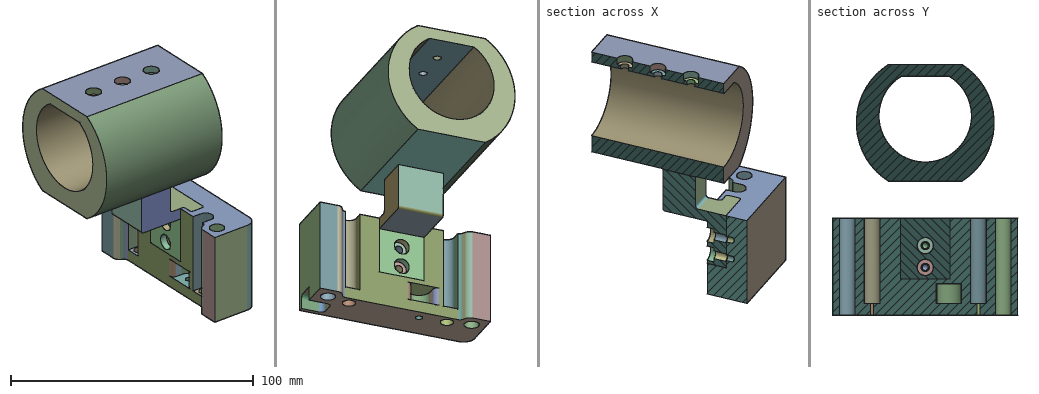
import cadquery as cq
import math

OVERALL_HEIGHT = 103.3
SELECT_MARGIN = 0.1

BASE_WIDTH = 76.3
BASE_DEPTH = 21.8
BASE_HEIGHT = 40.0
BACK_CORNER_RADIUS = 5.0
FLOOR_THICKNESS = 5.0

RECESS_DEPTH = 3.7
RECESS_BACK_WIDTH = 52.7
RECESS_FLANK_ANGLE = 60.0
EAR_ROUND = 3.0
RECESS_CORNER_RADIUS = 2.0
EAR_HOLE_DIAMETER = 6.3
EAR_HOLE_X = 32.1
EAR_HOLE_Y = 5.8

SLOT_WIDTH = 6.4
SLOT_X = 21.9
SLOT_CENTRE_Y = 7.7
SLOT_HOLE_DIAMETER = 5.5

POCKET_X = 9.7
POCKET_WIDTH = 9.9
POCKET_CENTRE_Y = 8.5
POCKET_HEIGHT = 8.0
POCKET_MOUTH_ROUND = 2.1
POCKET_DRAIN_DIAMETER = 3.0

NOTCH_LENGTH = 10.0
NOTCH_WIDTH = 8.2
NOTCH_HEIGHT = 6.1
NOTCH_WALL = 2.0
NOTCH_ROUND = 2.0

SCREW_CLEARANCE = 3.4
SCREW_HEAD_BORE = 6.6
SCREW_TAP_DIAMETER = 2.5
DRILL_POINT_ANGLE = 118.0

TONGUE_WIDTH = 30.0
TONGUE_BACK_Y = 12.3
FLANGE_FRONT_Y = 5.6
TONGUE_HEIGHT = 25.0
TONGUE_ROUND = 1.0
ARM_WIDTH = 20.0
POST_DEPTH = 15.1
POST_GAP = 1.3
POST_OVERLAP = 5.0
POST_ROUND = 1.0
TONGUE_HOLE_DEPTHS = (11.3, 20.3)
TONGUE_BORE_DEPTH = 3.1
TAP_DEPTH = 3.1

TUBE_LENGTH = 60.0
TUBE_RADIUS = 28.4
TUBE_HEIGHT = 48.1
TUBE_BACK_Y = 11.4
BORE_RADIUS = 19.0
BORE_OFFSET = 2.9
TUBE_TOP_WALL = 5.0
TUBE_SCREW_PITCH = 15.0
TUBE_SCREW_BORE_DEPTH = 3.0

FRONT_Y = RECESS_DEPTH
TUBE_BOTTOM = OVERALL_HEIGHT - TUBE_HEIGHT


def box(width, y_front, y_back, z_bottom, z_top, x_centre=0.0):
    """Block centred on x_centre between the given Y and Z limits."""
    return (
        cq.Workplane("XY")
        .box(width, y_back - y_front, z_top - z_bottom, centered=(True, False, False))
        .translate((x_centre, y_front, z_bottom))
    )


def upright(diameter, x, y, z_bottom, z_top):
    """Vertical cylinder."""
    return cq.Workplane("XY", origin=(x, y, z_bottom)).circle(diameter / 2).extrude(z_top - z_bottom)


def tongue():
    """T-shaped block that drops into the base from above."""
    z_bottom = BASE_HEIGHT - TONGUE_HEIGHT
    flange = box(TONGUE_WIDTH, FLANGE_FRONT_Y, TONGUE_BACK_Y, z_bottom, BASE_HEIGHT)
    neck = box(ARM_WIDTH, FRONT_Y, TONGUE_BACK_Y, z_bottom, BASE_HEIGHT)
    flange = flange.edges("|Z").fillet(TONGUE_ROUND)
    inner_corner = cq.selectors.BoxSelector(
        (-ARM_WIDTH / 2 - SELECT_MARGIN, FLANGE_FRONT_Y - SELECT_MARGIN, 0),
        (ARM_WIDTH / 2 + SELECT_MARGIN, FLANGE_FRONT_Y + SELECT_MARGIN, BASE_HEIGHT),
    )
    return flange.union(neck).edges("|Z").edges(inner_corner).fillet(TONGUE_ROUND)


def screw_slot(x):
    """Round-backed slot with a screw hole through its floor."""
    slot = box(SLOT_WIDTH, 0, SLOT_CENTRE_Y, FLOOR_THICKNESS, BASE_HEIGHT, x)
    slot = slot.union(upright(SLOT_WIDTH, x, SLOT_CENTRE_Y, FLOOR_THICKNESS, BASE_HEIGHT))
    return slot.union(upright(SLOT_HOLE_DIAMETER, x, SLOT_CENTRE_Y, 0, BASE_HEIGHT))


def front_pocket():
    """Round-backed pocket with a flared mouth and a small hole through its floor."""
    half = POCKET_WIDTH / 2
    flare = POCKET_MOUTH_ROUND
    mid = flare * (1 - math.sqrt(0.5))
    outline = (
        cq.Workplane("XY", origin=(POCKET_X, 0, FLOOR_THICKNESS))
        .moveTo(-half - flare, FRONT_Y)
        .threePointArc((-half - mid, FRONT_Y + mid), (-half, FRONT_Y + flare))
        .lineTo(-half, POCKET_CENTRE_Y)
        .threePointArc((0, POCKET_CENTRE_Y + half), (half, POCKET_CENTRE_Y))
        .lineTo(half, FRONT_Y + flare)
        .threePointArc((half + mid, FRONT_Y + mid), (half + flare, FRONT_Y))
        .close()
    )
    pocket = outline.extrude(POCKET_HEIGHT)
    return pocket.union(upright(POCKET_DRAIN_DIAMETER, POCKET_X, POCKET_CENTRE_Y, 0, FLOOR_THICKNESS))


def side_notch():
    """Notch in the underside, open to the left, with rounded inner corners."""
    y_back = BASE_DEPTH - NOTCH_WALL
    x_centre = (NOTCH_LENGTH - BASE_WIDTH) / 2
    notch = box(NOTCH_LENGTH, y_back - NOTCH_WIDTH, y_back, 0, NOTCH_HEIGHT, x_centre)
    inner_corners = notch.edges("|Z and >X").add(notch.edges("|X and >Y and >Z"))
    return notch.newObject(inner_corners.vals()).fillet(NOTCH_ROUND)


def tapped_hole(z):
    """Blind hole with a drill point, behind the tongue."""
    radius = SCREW_TAP_DIAMETER / 2
    point = radius / math.tan(math.radians(DRILL_POINT_ANGLE / 2))
    return (
        cq.Workplane("XY", origin=(0, TONGUE_BACK_Y, z))
        .polyline([(0, 0), (radius, 0), (radius, TAP_DEPTH), (0, TAP_DEPTH + point)])
        .close()
        .revolve(360, (0, 0, 0), (0, 1, 0))
    )


def screw_heights():
    """Z of the two screws that hold the tongue in the base."""
    return [BASE_HEIGHT - depth for depth in TONGUE_HOLE_DEPTHS]


def base_block():
    """Plain block whose recessed front blends into an ear on either side."""
    half_back = RECESS_BACK_WIDTH / 2
    half_front = half_back + RECESS_DEPTH / math.tan(math.radians(RECESS_FLANK_ANGLE))
    half_width = BASE_WIDTH / 2
    outline = [
        (-half_width, 0),
        (-half_front, 0),
        (-half_back, FRONT_Y),
        (half_back, FRONT_Y),
        (half_front, 0),
        (half_width, 0),
        (half_width, BASE_DEPTH),
        (-half_width, BASE_DEPTH),
    ]
    block = cq.Workplane("XY").polyline(outline).close().extrude(BASE_HEIGHT)
    block = block.edges("|Z and >X and >Y").fillet(BACK_CORNER_RADIUS)
    for half, y, radius in ((half_front, 0, EAR_ROUND), (half_back, FRONT_Y, RECESS_CORNER_RADIUS)):
        corners = cq.selectors.BoxSelector(
            (-half - SELECT_MARGIN, y - SELECT_MARGIN, 0),
            (half + SELECT_MARGIN, y + SELECT_MARGIN, BASE_HEIGHT),
        )
        block = block.edges("|Z").edges(corners).fillet(radius)
    return block


def make_base():
    """Base block with its holes, slots, pockets and the T-shaped seat for the arm."""
    base = base_block()
    for side in (-1, 1):
        base = base.cut(upright(EAR_HOLE_DIAMETER, side * EAR_HOLE_X, EAR_HOLE_Y, 0, BASE_HEIGHT))
        base = base.cut(screw_slot(side * SLOT_X))
    base = base.cut(front_pocket()).cut(side_notch()).cut(tongue())
    for z in screw_heights():
        base = base.cut(tapped_hole(z))
    return base


def make_arm():
    """Tongue, with a bridge at its top that steps forward to the upright post."""
    post_back = -POST_GAP
    post_front = post_back - POST_DEPTH
    post_bottom = BASE_HEIGHT - POST_OVERLAP
    bridge = box(ARM_WIDTH, post_front, FLANGE_FRONT_Y, post_bottom, BASE_HEIGHT)
    post = box(ARM_WIDTH, post_front, post_back, post_bottom, TUBE_BOTTOM)
    post = bridge.union(post).edges("|X and <Y and <Z").fillet(POST_ROUND)
    step = cq.selectors.BoxSelector(
        (-ARM_WIDTH, post_back - SELECT_MARGIN, BASE_HEIGHT - SELECT_MARGIN),
        (ARM_WIDTH, post_back + SELECT_MARGIN, BASE_HEIGHT + SELECT_MARGIN),
    )
    post = post.edges("|X").edges(step).fillet(POST_ROUND)
    arm = post.union(tongue())
    for z in screw_heights():
        face = cq.Workplane("XZ", origin=(0, FRONT_Y, z))
        arm = arm.cut(face.circle(SCREW_CLEARANCE / 2).extrude(FRONT_Y - TONGUE_BACK_Y))
        arm = arm.cut(face.circle(SCREW_HEAD_BORE / 2).extrude(-TONGUE_BORE_DEPTH))
    return arm


def flatted_cylinder(radius, z_centre, z_flat_bottom, z_flat_top):
    """Cylinder along the tube's axis, cut off flat below and above."""
    cylinder = cq.Workplane("XZ", origin=(0, TUBE_BACK_Y, z_centre)).circle(radius).extrude(TUBE_LENGTH)
    flats = box(2 * radius, TUBE_BACK_Y - TUBE_LENGTH, TUBE_BACK_Y, z_flat_bottom, z_flat_top)
    return cylinder.intersect(flats)


def make_tube():
    """Flatted tube with an off-centre bore and a row of screw holes in its top wall."""
    centre = TUBE_BOTTOM + TUBE_HEIGHT / 2
    bore_centre = centre + BORE_OFFSET
    bore_top = OVERALL_HEIGHT - TUBE_TOP_WALL
    tube = flatted_cylinder(TUBE_RADIUS, centre, TUBE_BOTTOM, OVERALL_HEIGHT)
    tube = tube.cut(flatted_cylinder(BORE_RADIUS, bore_centre, TUBE_BOTTOM, bore_top))
    middle = TUBE_BACK_Y - TUBE_LENGTH / 2
    for step in (-1, 0, 1):
        y = middle + step * TUBE_SCREW_PITCH
        tube = tube.cut(upright(SCREW_CLEARANCE, 0, y, bore_centre, OVERALL_HEIGHT))
        bore_floor = OVERALL_HEIGHT - TUBE_SCREW_BORE_DEPTH
        tube = tube.cut(upright(SCREW_HEAD_BORE, 0, y, bore_floor, OVERALL_HEIGHT))
    return tube


base = make_base()
arm = make_arm()
tube = make_tube()

result = cq.Compound.makeCompound([base.solids().val(), arm.solids().val(), tube.solids().val()])